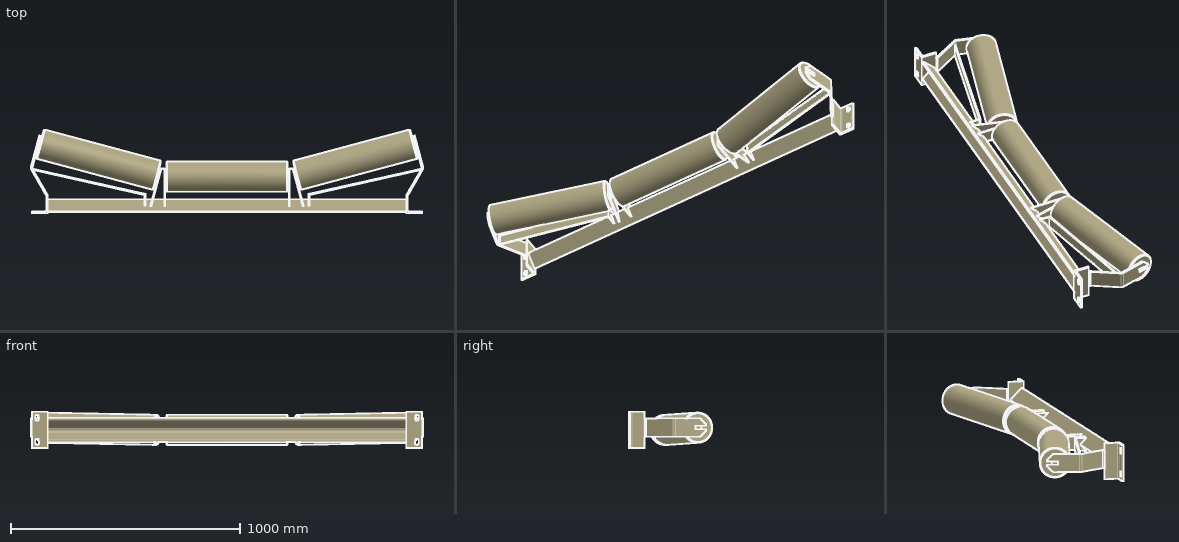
import cadquery as cq
import math

OVERALL_LENGTH = 1714.36
OVERALL_HEIGHT = 365.77

TROUGH_ANGLE = 15.0
ROLLER_DIAMETER = 133.0
ROLLER_LENGTH = 530.0
ROLLER_EDGE_CHAMFER = 4.0
SIDE_ROLLER_LEAD = 10.0
CENTRE_ROLLER_HEIGHT = 160.0

SHAFT_DIAMETER = 28.0
SHAFT_FLAT_WIDTH = 15.0
ROLLER_GAP = 5.0

BEAM_LEG = 75.0
BEAM_THICKNESS = 9.0
BEAM_ROOT_RADIUS = 10.0
BEAM_TOE_RADIUS = 4.5
BEAM_LENGTH = 1564.0
BEAM_RIDGE = 61.5

FOOT_LEG = 70.0
FOOT_THICKNESS = 8.0
FOOT_ROOT_RADIUS = 5.0
FOOT_TOE_RADIUS = 4.0
FOOT_WIDTH = 160.0
SLOT_WIDTH = 16.0
SLOT_LENGTH = 26.0
SLOT_SPACING = 104.0
SLOT_EDGE_DISTANCE = 23.0

PLATE_THICKNESS = 5.0
ARM_THICKNESS = 8.0
ARM_WIDTH = 80.0
ARM_CORNER_CHAMFER = 27.0
ARM_TOP_ABOVE_SHAFT = 35.0
ARM_KNEE_HEIGHT = 197.0
ARM_FOOT_BEND_HEIGHT = 78.0
ARM_KNEE_RADIUS = 14.0
SADDLE_WIDTH = 60.0
SADDLE_TOP = 197.0
SADDLE_FOLD_DEPTH = 6.0
STAY_WIDTH = 56.0
STAY_BEND_X = 358.0
STAY_BEND_HEIGHT = 82.0

SLOPE_COS = math.cos(math.radians(TROUGH_ANGLE))
SLOPE_SIN = math.sin(math.radians(TROUGH_ANGLE))
ROLLER_RADIUS = ROLLER_DIAMETER / 2
HALF_ROLLER = ROLLER_LENGTH / 2
PLATE_INNER = HALF_ROLLER + ROLLER_GAP
PLATE_OUTER = PLATE_INNER + PLATE_THICKNESS
ARM_OUTER = PLATE_INNER + ARM_THICKNESS
BEAM_END = BEAM_LENGTH / 2
FOOT_OUTER = BEAM_END + FOOT_LEG
HIGHEST_POINT_ALONG = HALF_ROLLER - ROLLER_EDGE_CHAMFER
SIDE_ROLLER_HEIGHT = OVERALL_HEIGHT - HIGHEST_POINT_ALONG * SLOPE_SIN - ROLLER_RADIUS * SLOPE_COS
ARM_LEAN = math.atan2(
    OVERALL_LENGTH / 2 - BEAM_END - ARM_THICKNESS,
    ARM_KNEE_HEIGHT - ARM_FOOT_BEND_HEIGHT,
)
KNEE_SHARPNESS = (SLOPE_COS + math.cos(ARM_LEAN)) / (1 + math.cos(math.radians(TROUGH_ANGLE) + ARM_LEAN))
KNEE_X = OVERALL_LENGTH / 2 + ARM_KNEE_RADIUS * (KNEE_SHARPNESS - 1)
KNEE_ABOVE_SHAFT = (ARM_KNEE_HEIGHT - SIDE_ROLLER_HEIGHT - ARM_OUTER * SLOPE_SIN) / SLOPE_COS
SIDE_ROLLER_X = KNEE_X - ARM_OUTER * SLOPE_COS + KNEE_ABOVE_SHAFT * SLOPE_SIN
LEAD_ANGLE = math.degrees(math.asin(SIDE_ROLLER_LEAD / (2 * PLATE_INNER)))


def on_side_roller(along, above):
    """Point in XY at a distance along the right roller's axis and square to it."""
    return (
        SIDE_ROLLER_X + along * SLOPE_COS - above * SLOPE_SIN,
        SIDE_ROLLER_HEIGHT + along * SLOPE_SIN + above * SLOPE_COS,
    )


def point_at_height(along, height):
    """Point at a given height on the line square to the right roller's axis."""
    rise = height - SIDE_ROLLER_HEIGHT - along * SLOPE_SIN
    return on_side_roller(along, rise / SLOPE_COS)


def strip(points, width):
    """Plate whose XY outline is extruded evenly to both sides of Z = 0."""
    return cq.Workplane("XY").polyline(points).close().extrude(width / 2, both=True)


def mirrored(body):
    return body.mirror("YZ")


def place_on_side_roller(body):
    """Move a body built about the origin along X onto the right roller's axis."""
    led = body.rotate((-PLATE_INNER, 0, 0), (-PLATE_INNER, 1, 0), -LEAD_ANGLE)
    turned = led.rotate((0, 0, 0), (0, 0, 1), TROUGH_ANGLE)
    return turned.translate((SIDE_ROLLER_X, SIDE_ROLLER_HEIGHT, 0))


def place_on_centre_roller(body):
    return body.translate((0, CENTRE_ROLLER_HEIGHT, 0))


def make_roller():
    return (
        cq.Workplane("YZ", origin=(-HALF_ROLLER, 0, 0))
        .circle(ROLLER_RADIUS)
        .extrude(ROLLER_LENGTH)
        .edges("%CIRCLE")
        .chamfer(ROLLER_EDGE_CHAMFER)
        .faces(">X")
        .workplane()
        .hole(SHAFT_DIAMETER)
    )


def make_shaft():
    """Round bar with two flats on each end, where it drops into the plate slots."""
    bar = (
        cq.Workplane("YZ", origin=(-PLATE_OUTER, 0, 0))
        .circle(SHAFT_DIAMETER / 2)
        .extrude(2 * PLATE_OUTER)
    )
    middle = cq.Workplane("XY").box(ROLLER_LENGTH, SHAFT_DIAMETER, SHAFT_DIAMETER)
    flats = cq.Workplane("XY").box(2 * PLATE_OUTER, SHAFT_DIAMETER, SHAFT_FLAT_WIDTH)
    return bar.intersect(middle.union(flats))


def make_shaft_slots():
    """Cutter for the slots at both shaft ends, open upwards."""
    bottom = -SHAFT_DIAMETER / 2
    height = ROLLER_RADIUS - bottom
    slots = cq.Workplane("XY")
    for side in (-1, 1):
        slot = cq.Workplane("XY").box(4 * ARM_THICKNESS, height, SHAFT_FLAT_WIDTH)
        slots = slots.add(slot.translate((side * PLATE_OUTER, bottom + height / 2, 0)))
    return slots.combine()


def make_beam():
    """Equal angle drawn with its corner at the origin, then turned so that both legs slope down."""
    toe_start = BEAM_LEG - BEAM_TOE_RADIUS
    root_end = BEAM_THICKNESS + BEAM_ROOT_RADIUS
    profile = (
        cq.Workplane("YZ", origin=(-BEAM_END, 0, 0))
        .lineTo(BEAM_LEG, 0)
        .lineTo(BEAM_LEG, BEAM_THICKNESS - BEAM_TOE_RADIUS)
        .radiusArc((toe_start, BEAM_THICKNESS), -BEAM_TOE_RADIUS)
        .lineTo(root_end, BEAM_THICKNESS)
        .radiusArc((BEAM_THICKNESS, root_end), BEAM_ROOT_RADIUS)
        .lineTo(BEAM_THICKNESS, toe_start)
        .radiusArc((BEAM_THICKNESS - BEAM_TOE_RADIUS, BEAM_LEG), -BEAM_TOE_RADIUS)
        .lineTo(0, BEAM_LEG)
        .close()
        .extrude(BEAM_LENGTH)
    )
    return profile.rotate((0, 0, 0), (1, 0, 0), 135).translate((0, BEAM_RIDGE, 0))


def make_roof_space():
    """Everything under the beam's outer faces, used to cut plates that straddle the beam."""
    return (
        cq.Workplane("YZ", origin=(-BEAM_END, 0, 0))
        .polyline([(BEAM_RIDGE, 0), (0, BEAM_RIDGE), (0, -BEAM_RIDGE)])
        .close()
        .extrude(BEAM_LENGTH)
    )


def make_foot():
    leg_face = BEAM_END + FOOT_THICKNESS
    profile = (
        cq.Workplane("XY")
        .moveTo(BEAM_END, 0)
        .lineTo(FOOT_OUTER, 0)
        .lineTo(FOOT_OUTER, FOOT_THICKNESS - FOOT_TOE_RADIUS)
        .radiusArc((FOOT_OUTER - FOOT_TOE_RADIUS, FOOT_THICKNESS), -FOOT_TOE_RADIUS)
        .lineTo(leg_face + FOOT_ROOT_RADIUS, FOOT_THICKNESS)
        .radiusArc((leg_face, FOOT_THICKNESS + FOOT_ROOT_RADIUS), FOOT_ROOT_RADIUS)
        .lineTo(leg_face, FOOT_LEG - FOOT_TOE_RADIUS)
        .radiusArc((leg_face - FOOT_TOE_RADIUS, FOOT_LEG), -FOOT_TOE_RADIUS)
        .lineTo(BEAM_END, FOOT_LEG)
        .close()
        .extrude(FOOT_WIDTH / 2, both=True)
    )
    slots = (
        cq.Workplane("XZ", origin=(FOOT_OUTER - SLOT_EDGE_DISTANCE, 0, 0))
        .pushPoints([(0, -SLOT_SPACING / 2), (0, SLOT_SPACING / 2)])
        .slot2D(SLOT_LENGTH, SLOT_WIDTH, 90)
        .extrude(-FOOT_THICKNESS)
    )
    return profile.cut(slots)


def make_saddle(shaft_slots):
    """Folded plate over the beam that holds the centre and side rollers' inner shaft ends."""
    fold_height = SADDLE_TOP - SADDLE_FOLD_DEPTH
    ridge_inner = SADDLE_TOP - PLATE_THICKNESS
    outline = [
        (PLATE_INNER, 0),
        (PLATE_INNER, fold_height),
        (PLATE_INNER + SADDLE_FOLD_DEPTH, SADDLE_TOP),
        (point_at_height(-PLATE_INNER, SADDLE_TOP)[0] - SADDLE_FOLD_DEPTH, SADDLE_TOP),
        point_at_height(-PLATE_INNER, fold_height),
        point_at_height(-PLATE_INNER, 0),
        point_at_height(-PLATE_OUTER, 0),
        point_at_height(-PLATE_OUTER, ridge_inner),
        (PLATE_OUTER, ridge_inner),
        (PLATE_OUTER, 0),
    ]
    return strip(outline, SADDLE_WIDTH).cut(make_roof_space()).cut(shaft_slots)


def make_arm(shaft_slots):
    """Bent plate from the top of the foot up to the side roller's outer shaft end."""
    inner_knee = on_side_roller(PLATE_INNER, KNEE_ABOVE_SHAFT)
    outer_knee = on_side_roller(ARM_OUTER, KNEE_ABOVE_SHAFT)
    lower_part = [
        inner_knee,
        outer_knee,
        (BEAM_END + ARM_THICKNESS, ARM_FOOT_BEND_HEIGHT),
        (BEAM_END + ARM_THICKNESS, FOOT_LEG),
        (BEAM_END, FOOT_LEG),
        (BEAM_END, ARM_FOOT_BEND_HEIGHT),
    ]
    face = cq.Plane(
        origin=on_side_roller(PLATE_INNER, 0),
        xDir=(-SLOPE_SIN, SLOPE_COS, 0),
        normal=(SLOPE_COS, SLOPE_SIN, 0),
    )
    upper_part = (
        cq.Workplane(face)
        .polyline(
            [
                (KNEE_ABOVE_SHAFT, -ARM_WIDTH / 2),
                (ARM_TOP_ABOVE_SHAFT - ARM_CORNER_CHAMFER, -ARM_WIDTH / 2),
                (ARM_TOP_ABOVE_SHAFT, ARM_CORNER_CHAMFER - ARM_WIDTH / 2),
                (ARM_TOP_ABOVE_SHAFT, ARM_WIDTH / 2 - ARM_CORNER_CHAMFER),
                (ARM_TOP_ABOVE_SHAFT - ARM_CORNER_CHAMFER, ARM_WIDTH / 2),
                (KNEE_ABOVE_SHAFT, ARM_WIDTH / 2),
            ]
        )
        .close()
        .extrude(ARM_THICKNESS)
    )
    arm = strip(lower_part, ARM_WIDTH).union(upper_part)
    bends = [(outer_knee, ARM_KNEE_RADIUS), (inner_knee, ARM_KNEE_RADIUS - ARM_THICKNESS)]
    for corner, radius in bends:
        arm = arm.edges(cq.selectors.NearestToPointSelector((*corner, 0))).fillet(radius)
    return arm.translate((0, 0, SIDE_ROLLER_LEAD)).cut(shaft_slots)


def make_stay():
    """Strut from the arm's knee down to the beam, bent upright at its lower end."""
    knee = on_side_roller(PLATE_INNER, KNEE_ABOVE_SHAFT)
    half = PLATE_THICKNESS / 2
    outline = [
        knee,
        (STAY_BEND_X - half, STAY_BEND_HEIGHT + half),
        (STAY_BEND_X - half, 0),
        (STAY_BEND_X + half, 0),
        (STAY_BEND_X + half, STAY_BEND_HEIGHT - half),
        (knee[0], knee[1] - PLATE_THICKNESS),
    ]
    return strip(outline, STAY_WIDTH)


slots = make_shaft_slots()
centre_slots = place_on_centre_roller(slots)
side_slots = place_on_side_roller(slots)

saddle = make_saddle(centre_slots.union(side_slots))
foot = make_foot()
frame = make_beam()
for part in (saddle, foot):
    frame = frame.union(part).union(mirrored(part))

arm = make_arm(side_slots)
stay = make_stay().cut(make_roof_space())
end_support = arm.union(stay)
end_supports = [end_support, mirrored(end_support)]

roller = make_roller()
shaft = make_shaft()
rolling_parts = []
for body in (roller, shaft):
    side_body = place_on_side_roller(body)
    rolling_parts += [place_on_centre_roller(body), side_body, mirrored(side_body)]

bodies = [frame, *end_supports, *rolling_parts]
result = cq.Compound.makeCompound([body.val() for body in bodies])